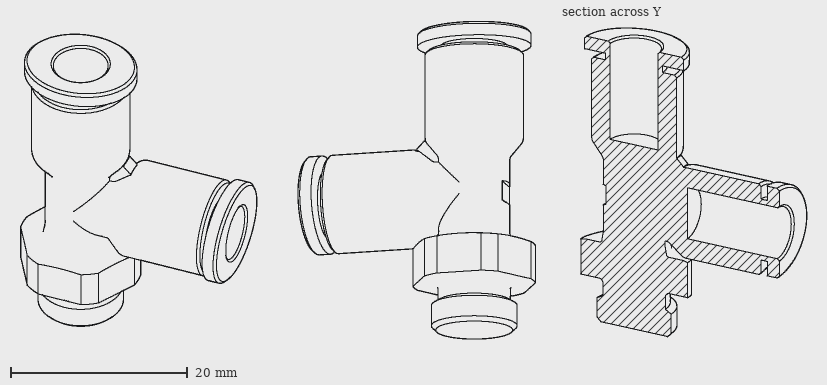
import cadquery as cq
import math


total_height = 34.65
port_reach = 18.98
branch_height = total_height - port_reach
body_radius = 4.04

thread_radius = 4.86
thread_tip_chamfer = 0.5
thread_top = 2.88
relief_radius = 4.1
thread_runout_angle = 30.0
relief_fillet = 0.5

hex_bottom = 5.3
hex_top = 9.8
hex_across_flats = 13.0
hex_corner_radius = 7.0
hex_face_radius = 6.4
hex_chamfer_angle = 15.0

foot_radius = 4.25
foot_fillet = 0.25
foot_top = 11.26

cone_start = 4.5
cone_end = 6.43
cone_blend_radius = 1.0
collar_radius = 5.59
collar_end = 16.6
collar_chamfer = 0.3
sleeve_radius = 3.77
button_start = 17.35
button_length = 13.0
button_width = 11.05
button_chamfer = 0.3
bore_radius = 3.1
bore_depth = 12.0
bore_chamfer = 0.25

web_thickness = 2.0
web_edge_sum = 12.05

recess_depth = 0.35
recess_width = 3.05
recess_floor_height = 2.2
recess_mouth_height = 2.5


def make_base():
    """Turned spigot, relief groove, foot and body up to the crossing of the axes."""
    runout_height = (thread_radius - relief_radius) * math.tan(math.radians(thread_runout_angle))
    bulge = 1 - math.cos(math.radians(45))
    return (
        cq.Workplane("XZ")
        .lineTo(thread_radius - thread_tip_chamfer, 0)
        .lineTo(thread_radius, thread_tip_chamfer)
        .lineTo(thread_radius, thread_top)
        .lineTo(relief_radius, thread_top + runout_height)
        .lineTo(relief_radius, hex_bottom - relief_fillet)
        .threePointArc(
            (relief_radius + bulge * relief_fillet, hex_bottom - bulge * relief_fillet),
            (relief_radius + relief_fillet, hex_bottom),
        )
        .lineTo(foot_radius + foot_fillet, hex_top)
        .threePointArc(
            (foot_radius + bulge * foot_fillet, hex_top + bulge * foot_fillet),
            (foot_radius, hex_top + foot_fillet),
        )
        .lineTo(body_radius, foot_top)
        .lineTo(body_radius, branch_height)
        .lineTo(0, branch_height)
        .close().revolve(360, (0, 0), (0, 1))
    )


def make_hexagon():
    """Hexagon with flats facing +Y and -Y, turned corners and a chamfered top."""
    across_corners = hex_across_flats / math.cos(math.radians(30))
    prism = (
        cq.Workplane("XY").workplane(offset=hex_bottom)
        .polygon(6, across_corners).extrude(hex_top - hex_bottom)
    )
    chamfer_drop = (hex_corner_radius - hex_face_radius) * math.tan(math.radians(hex_chamfer_angle))
    envelope = (
        cq.Workplane("XZ")
        .polyline([
            (0, hex_bottom),
            (hex_corner_radius, hex_bottom),
            (hex_corner_radius, hex_top - chamfer_drop),
            (hex_face_radius, hex_top),
            (0, hex_top),
        ])
        .close().revolve(360, (0, 0), (0, 1))
    )
    return prism.intersect(envelope)


def make_port():
    """Port along +Z from the origin, without its bore; the oval button is long in X."""
    cone_angle = math.atan2(collar_radius - body_radius, cone_end - cone_start)
    tangent = cone_blend_radius * math.tan(cone_angle / 2)
    radial = tangent * math.sin(cone_angle)
    axial = tangent * math.cos(cone_angle)
    blend_middle = cone_blend_radius * (1 - math.cos(cone_angle / 2))
    blend_advance = cone_blend_radius * math.sin(cone_angle / 2)
    turned = (
        cq.Workplane("XZ")
        .lineTo(body_radius, 0)
        .lineTo(body_radius, cone_start - tangent)
        .threePointArc(
            (body_radius + blend_middle, cone_start - tangent + blend_advance),
            (body_radius + radial, cone_start + axial),
        )
        .lineTo(collar_radius - radial, cone_end - axial)
        .threePointArc(
            (collar_radius - blend_middle, cone_end + tangent - blend_advance),
            (collar_radius, cone_end + tangent),
        )
        .lineTo(collar_radius, collar_end - collar_chamfer)
        .lineTo(collar_radius - collar_chamfer, collar_end)
        .lineTo(sleeve_radius, collar_end)
        .lineTo(sleeve_radius, button_start)
        .lineTo(0, button_start)
        .close().revolve(360, (0, 0), (0, 1))
    )
    button = (
        cq.Workplane("XY").workplane(offset=button_start)
        .ellipse(button_length / 2, button_width / 2)
        .extrude(port_reach - button_start)
        .faces(">Z").edges().chamfer(button_chamfer)
    )
    return turned.union(button)


def make_bore():
    """Blind tube bore of a port along +Z, with a chamfered mouth."""
    return (
        cq.Workplane("XZ")
        .polyline([
            (0, port_reach - bore_depth),
            (bore_radius, port_reach - bore_depth),
            (bore_radius, port_reach - bore_chamfer),
            (bore_radius + bore_chamfer, port_reach),
            (0, port_reach),
        ])
        .close().revolve(360, (0, 0), (0, 1))
    )


def raise_to_crossing(shape):
    return shape.translate((0, 0, branch_height))


def turn_to_branch(shape):
    """Lay a +Z port down along +X, with its button long in Y."""
    return shape.rotate((0, 0, 0), (0, 0, 1), 90).rotate((0, 0, 0), (0, 1, 0), 90)


def make_web():
    """Flat web filling the corner between the two ports."""
    edge_end = web_edge_sum - collar_radius
    return (
        cq.Workplane("XZ")
        .polyline([
            (0, 0),
            (edge_end, 0),
            (edge_end, collar_radius),
            (collar_radius, edge_end),
            (0, edge_end),
        ])
        .close().extrude(web_thickness / 2, both=True)
    )


def make_recess():
    """Flat-floored pocket facing -X, with its upper and lower walls opening outward."""
    floor_x = recess_depth - body_radius
    mouth_x = -body_radius - recess_depth
    floor_half = recess_floor_height / 2
    mouth_half = recess_mouth_height - floor_half
    return (
        cq.Workplane("XZ")
        .polyline([
            (floor_x, -floor_half),
            (floor_x, floor_half),
            (mouth_x, mouth_half),
            (mouth_x, -mouth_half),
        ])
        .close().extrude(recess_width / 2, both=True)
    )


port = make_port()
bore = make_bore()

result = make_base().union(make_hexagon())
for solid in (port, turn_to_branch(port), make_web()):
    result = result.union(raise_to_crossing(solid))
for tool in (bore, turn_to_branch(bore), make_recess()):
    result = result.cut(raise_to_crossing(tool))